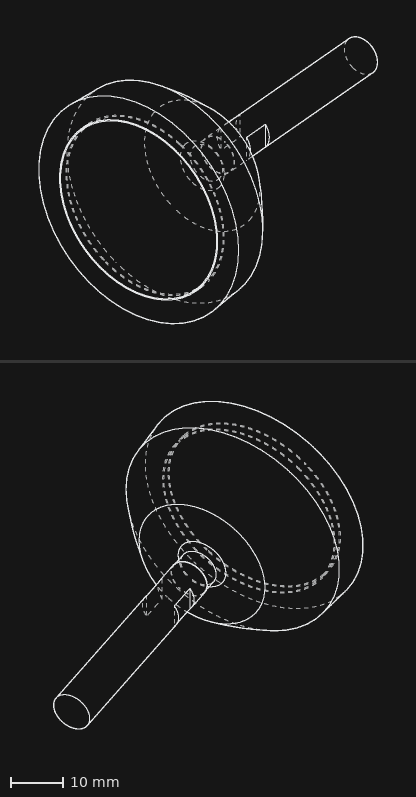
import cadquery as cq

total_length = 70.0

base_radius = 24.0
rim_radius = 23.5
rim_height = 8.25
shoulder_radius = 13.85
plate_height = 20.0
flank_bulge = 0.3

collar_base_radius = 5.25
collar_top = 21.35
collar_bulge = 0.2
neck_radius = 7.8 / 2
neck_top = 24.9
stem_radius = 8.0 / 2

across_flats = 6.1
flats_bottom = 29.95
flats_length = 5.95

recess_radius = 38.0 / 2
pad_radius = 37.5 / 2
pad_thickness = 2.0


def bulged_middle(start, end, bulge):
    """Point midway between two profile points, moved radially outward by the bulge."""
    return ((start[0] + end[0]) / 2 + bulge, (start[1] + end[1]) / 2)


def disc(radius, height):
    """Round disc that stands on the contact plane and extends along +Y."""
    return cq.Workplane("XZ").circle(radius).extrude(-height)


def make_foot():
    """Plate, collar, neck and stem turned as one piece."""
    rim = (rim_radius, rim_height)
    shoulder = (shoulder_radius, plate_height)
    collar_start = (collar_base_radius, plate_height)
    collar_end = (neck_radius, collar_top)
    turned = (
        cq.Workplane("XY")
        .lineTo(base_radius, 0)
        .lineTo(*rim)
        .threePointArc(bulged_middle(rim, shoulder, flank_bulge), shoulder)
        .lineTo(*collar_start)
        .threePointArc(bulged_middle(collar_start, collar_end, collar_bulge), collar_end)
        .lineTo(neck_radius, neck_top)
        .lineTo(stem_radius, neck_top)
        .lineTo(stem_radius, total_length)
        .lineTo(0, total_length)
        .close()
        .revolve(360, (0, 0, 0), (0, 1, 0))
    )
    return cut_flats(turned).cut(disc(recess_radius, pad_thickness))


def cut_flats(body):
    """Cut the two opposite wrench flats into the stem."""
    cutter_width = stem_radius
    for side in (-1, 1):
        cutter = cq.Workplane("XY").box(cutter_width, flats_length, 2 * stem_radius).translate(
            (side * (across_flats + cutter_width) / 2, flats_bottom + flats_length / 2, 0)
        )
        body = body.cut(cutter)
    return body


def make_pad():
    """Sole pad, seated on the recess floor and flush with the contact face."""
    return disc(pad_radius, pad_thickness)


foot = make_foot()
pad = make_pad()

result = cq.Compound.makeCompound([foot.val(), pad.val()])